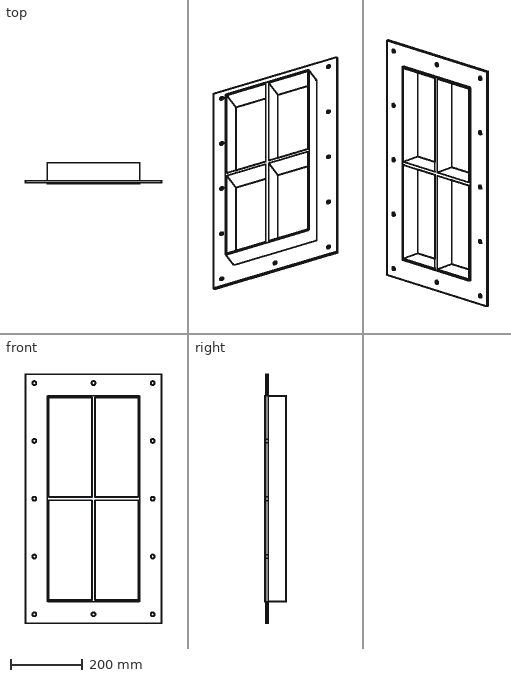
import cadquery as cq

plate_width = 383.0
plate_height = 700.0
plate_thickness = 6.0

total_depth = 60.0
frame_front_projection = 3.0
flange_margin = 61.0
frame_width = plate_width - 2 * flange_margin
frame_height = plate_height - 2 * flange_margin
frame_wall = 5.0
corner_radius = frame_wall

bar_thickness = 10.0
opening_width = (frame_width - 2 * frame_wall - bar_thickness) / 2
opening_height = (frame_height - 2 * frame_wall - bar_thickness) / 2

hole_diameter = 10.5
hole_edge_distance = 25.0
hole_columns = 3
hole_rows = 5
column_pitch = (plate_width - 2 * hole_edge_distance) / (hole_columns - 1)
row_pitch = (plate_height - 2 * hole_edge_distance) / (hole_rows - 1)


def upright_block(width, height, front_y, depth):
    """Block centred on X and Z, running from front_y toward +Y."""
    return cq.Workplane("XY").box(width, depth, height).translate((0, front_y + depth / 2, 0))


def make_plate():
    """Flange with holes along all four sides; its front face lies at Y = 0."""
    hole_points = [
        ((column - (hole_columns - 1) / 2) * column_pitch, (row - (hole_rows - 1) / 2) * row_pitch)
        for column in range(hole_columns)
        for row in range(hole_rows)
        if column in (0, hole_columns - 1) or row in (0, hole_rows - 1)
    ]
    plate = upright_block(plate_width, plate_height, 0, plate_thickness)
    return plate.faces("<Y").workplane(origin=(0, 0, 0)).pushPoints(hole_points).hole(hole_diameter)


def make_frame_body():
    """Solid block with rounded outer corners, projecting past both plate faces."""
    body = upright_block(frame_width, frame_height, -frame_front_projection, total_depth)
    return body.edges("|Y").fillet(corner_radius)


def make_openings():
    """Four through openings, leaving the frame walls and the cross bars between them."""
    opening = upright_block(opening_width, opening_height, -frame_front_projection, total_depth)
    offset_x = (opening_width + bar_thickness) / 2
    offset_z = (opening_height + bar_thickness) / 2
    openings = cq.Workplane("XY")
    for side_x in (-1, 1):
        for side_z in (-1, 1):
            openings = openings.add(opening.translate((side_x * offset_x, 0, side_z * offset_z)))
    return openings.combine()


result = make_plate().union(make_frame_body()).cut(make_openings())